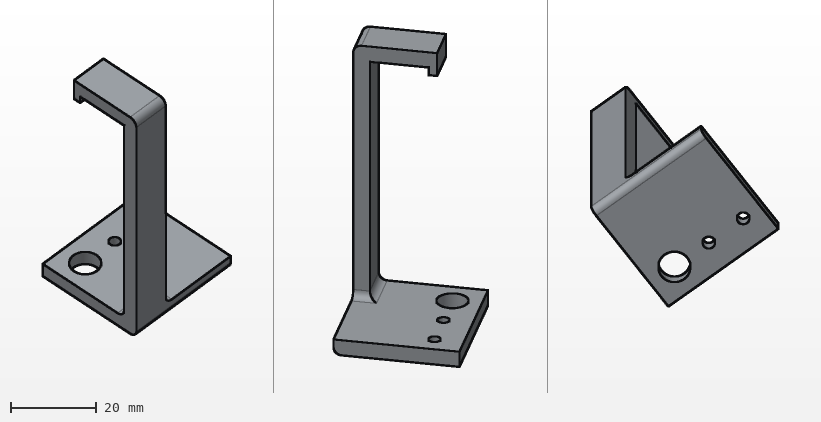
import cadquery as cq

base_length = 30.0
base_width = 32.0
thickness = 4.0

total_height = 70.0
post_width = 10.0
arm_length = 20.0
lip_width = 2.0
lip_drop = 2.0

bend_radius = 2.0

hole_x = 7.0
hole_pitch = 10.0
large_hole_diameter = 7.5
large_hole_y = 7.0
small_hole_diameter = 2.9
small_hole_count = 2

post_left = base_length - thickness
arm_left = base_length - arm_length
arm_underside = total_height - thickness


def make_base():
    return cq.Workplane("XY").box(base_length, base_width, thickness, centered=False)


def make_post():
    return (
        cq.Workplane("XY")
        .box(thickness, post_width, total_height, centered=False)
        .translate((post_left, 0, 0))
    )


def make_arm():
    arm = (
        cq.Workplane("XY")
        .box(arm_length, post_width, thickness, centered=False)
        .translate((arm_left, 0, arm_underside))
    )
    lip = (
        cq.Workplane("XY")
        .box(lip_width, post_width, thickness + lip_drop, centered=False)
        .translate((arm_left, 0, arm_underside - lip_drop))
    )
    return arm.union(lip)


def round_post_foot(body):
    """Fillet the left and back edges where the post meets the base."""
    left_edge_point = (post_left, post_width / 2, thickness)
    back_edge_point = (base_length - thickness / 2, post_width, thickness)
    left_edge = cq.selectors.NearestToPointSelector(left_edge_point)
    back_edge = cq.selectors.NearestToPointSelector(back_edge_point)
    return body.edges(left_edge + back_edge).fillet(bend_radius)


def round_outer_bends(body):
    """Round the right-hand edges along the top of the arm and the bottom of the base."""
    top_edge = body.faces(">Z").edges(">X")
    bottom_edge = body.faces("<Z").edges(">X")
    return body.newObject(top_edge.vals() + bottom_edge.vals()).fillet(bend_radius)


def cut_hole(body, y, diameter):
    hole = cq.Workplane("XY").center(hole_x, y).circle(diameter / 2).extrude(thickness)
    return body.cut(hole)


result = make_base().union(make_post()).union(make_arm()).clean()
result = round_post_foot(result)
result = round_outer_bends(result)
result = cut_hole(result, large_hole_y, large_hole_diameter)
for index in range(1, small_hole_count + 1):
    result = cut_hole(result, large_hole_y + index * hole_pitch, small_hole_diameter)